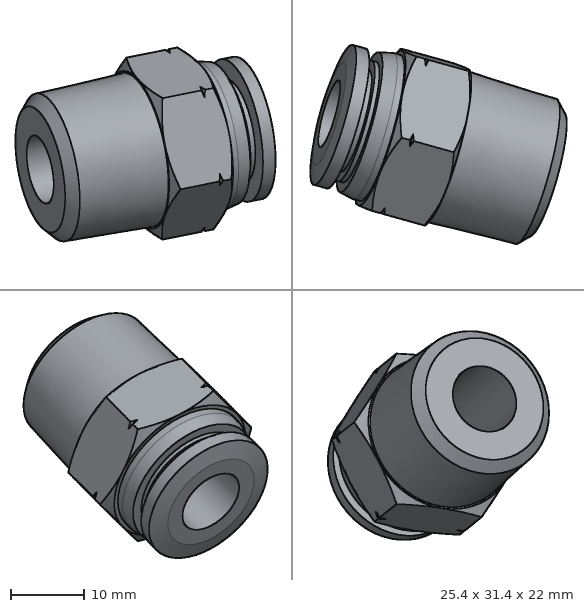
import cadquery as cq
import math

total_length = 31.35
bore_diameter = 9.5

shank_tip_diameter = 20.65
shank_chamfer = 1.55
shank_length = 14.5
shank_taper = 1 / 16

hex_across_flats = 22.0
hex_length = 9.5
hex_chamfer_angle = 30.0

groove_y = 21.55
groove_half_width = 0.28
groove_depth = 0.47

collar_diameter = 20.8
collar_straight_length = 1.05
collar_end_diameter = 19.9
collar_end_y = 27.0
step_diameter = 17.15
step_end_y = 27.65
neck_diameter = 14.45
neck_end_y = 28.9
button_diameter = 19.9
button_face_diameter = 14.45
button_bevel_length = 0.55

hex_corner_radius = hex_across_flats / math.sqrt(3)
hex_end_y = shank_length + hex_length


def revolved(profile):
    """Revolve a closed (radius, y) profile around the Y axis."""
    return cq.Workplane("XY").polyline(profile).close().revolve(360, (0, 0, 0), (0, 1, 0))


def make_shank():
    tip_radius = shank_tip_diameter / 2
    root_radius = tip_radius + shank_taper * (shank_length - shank_chamfer) / 2
    return revolved([
        (0, 0),
        (tip_radius - shank_chamfer, 0),
        (tip_radius, shank_chamfer),
        (root_radius, shank_length),
        (0, shank_length),
    ])


def make_hexagon():
    flat_radius = hex_across_flats / 2
    chamfer_length = (hex_corner_radius - flat_radius) * math.tan(math.radians(hex_chamfer_angle))
    prism = (
        cq.Workplane("XZ", origin=(0, shank_length, 0))
        .polygon(6, 2 * hex_corner_radius)
        .extrude(-hex_length)
    )
    envelope = revolved([
        (0, shank_length),
        (flat_radius, shank_length),
        (hex_corner_radius, shank_length + chamfer_length),
        (hex_corner_radius, groove_y - groove_half_width),
        (hex_corner_radius - groove_depth, groove_y),
        (hex_corner_radius, groove_y + groove_half_width),
        (hex_corner_radius, hex_end_y - chamfer_length),
        (flat_radius, hex_end_y),
        (0, hex_end_y),
    ])
    return prism.intersect(envelope)


def make_release_end():
    bevel_start_y = total_length - button_bevel_length
    return revolved([
        (0, hex_end_y),
        (collar_diameter / 2, hex_end_y),
        (collar_diameter / 2, hex_end_y + collar_straight_length),
        (collar_end_diameter / 2, collar_end_y),
        (step_diameter / 2, collar_end_y),
        (step_diameter / 2, step_end_y),
        (neck_diameter / 2, step_end_y),
        (neck_diameter / 2, neck_end_y),
        (button_diameter / 2, neck_end_y),
        (button_diameter / 2, bevel_start_y),
        (button_face_diameter / 2, total_length),
        (0, total_length),
    ])


def make_bore():
    return cq.Workplane("XZ").circle(bore_diameter / 2).extrude(-total_length)


result = make_shank().union(make_hexagon()).union(make_release_end()).cut(make_bore())